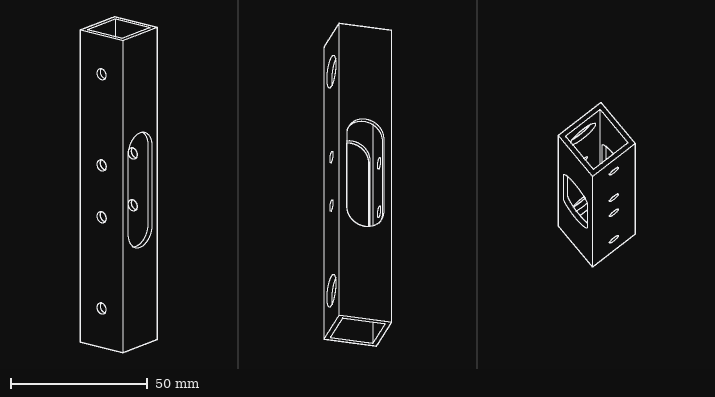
import cadquery as cq

length = 120.0
side = 20.0
wall = 1.9
bore = side - 2 * wall

screw_hole_diameter = 4.2
inner_hole_offset = 10.0
outer_hole_offset = 45.0

access_hole_diameter = 12.0

slot_width = 14.0
slot_length = 44.0


def mirrored(offset):
    """Points on the centre line at equal distances above and below mid-height."""
    return [(0, -offset), (0, offset)]


def square_tube():
    outside = cq.Workplane("XY").box(side, side, length)
    inside = cq.Workplane("XY").box(bore, bore, length)
    return outside.cut(inside)


def screw_holes():
    """Cylinders through both walls facing Y."""
    centres = mirrored(inner_hole_offset) + mirrored(outer_hole_offset)
    return cq.Workplane("XZ").pushPoints(centres).circle(screw_hole_diameter / 2).extrude(side, both=True)


def access_holes():
    """Cylinders from the middle of the tube out through the +Y wall only."""
    centres = mirrored(outer_hole_offset)
    return cq.Workplane("XZ").pushPoints(centres).circle(access_hole_diameter / 2).extrude(-side)


def side_slot():
    """Round-ended slot along X, long in Z."""
    return cq.Workplane("YZ").slot2D(slot_length, slot_width, 90).extrude(side, both=True)


result = square_tube().cut(screw_holes()).cut(access_holes()).cut(side_slot())